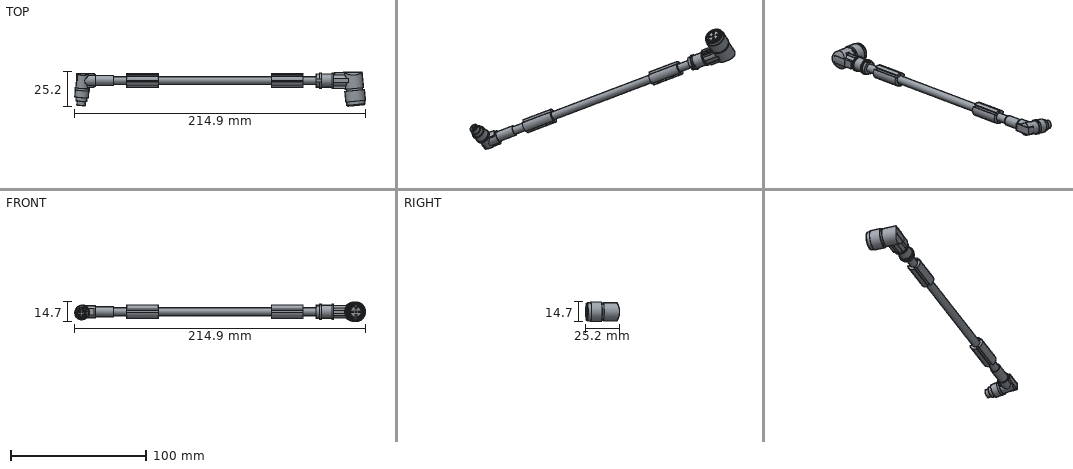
import cadquery as cq
import math


CABLE_RADIUS = 3.0

SLEEVE_RADIUS = 5.15
SLEEVE_LENGTH = 23.5
SLEEVE_STARTS = (38.3, 145.3)
SLEEVE_GROOVES = ((45, 7), (175, 55), (285, 7))
SLEEVE_GROOVE_WALL_FLARE = 7
SLEEVE_GROOVE_FLOOR = 3.5
SLEEVE_GROOVE_FLOOR_WIDTH = 1.5
SLEEVE_NOSE_ANGLE = 149
SLEEVE_NOSE_FILLET = 1.2
SLEEVE_SLOT_WIDTH = 0.9
SLEEVE_SLOT_ANGLE = 95.5

REAR_ALLOWANCE = 1.0

PLUG_AXIS_X = 5.95
PLUG_TILT = -4
PLUG_DIP = 4
PLUG_BACK = 5.1
PLUG_BACK_CURVE = 10.0
PLUG_BODY_RADIUS = 4.7
PLUG_BODY_END = 5.6
PLUG_FLANGE_RADIUS = 5.37
PLUG_FLANGE_END = 7.2
PLUG_NUT_RADIUS = 5.1
PLUG_NUT_END = 12.4
PLUG_THREAD_RADIUS = 4.1
PLUG_THREAD_END = 15.2
PLUG_TIP_RADIUS = 3.2
PLUG_TIP_END = 18.4
PLUG_BORE_RADIUS = 2.7
PLUG_BORE_DEPTH = 4.5
PLUG_PINS = 4
PLUG_FIRST_PIN_ANGLE = 45
PLUG_PIN_RADIUS = 0.5
PLUG_PIN_CIRCLE = 1.5
PLUG_PIN_LENGTH = 4.0
PLUG_NECK_END = 15.3
PLUG_NECK_RADIUS = 4.55
PLUG_GRIP_END = 28.8
PLUG_GRIP_RADIUS = 3.75
PLUG_PLATE_START = 1.5
PLUG_PLATE_END = 14.6
PLUG_PLATE_WIDTH = 5.6
PLUG_PAD_START = 9.0
PLUG_PAD_END = 14.3
PLUG_PAD_WIDTH = 5.0
PLUG_PAD_REACH = 5.0

SOCKET_AXIS_X = 206.07
SOCKET_TILT = 5.5
SOCKET_BACK = 6.17
SOCKET_BACK_CURVE = 12.0
SOCKET_BODY_RADIUS = 6.85
SOCKET_BODY_END = 5.9
SOCKET_GAP_RADIUS = 6.0
SOCKET_GAP_END = 7.4
SOCKET_NUT_RADIUS = 7.37
SOCKET_NUT_END = 15.3
SOCKET_RIM_RADIUS = 6.85
SOCKET_RIM_END = 18.54
SOCKET_RIM_CHAMFER = 0.8
SOCKET_BORE_RADIUS = 5.3
SOCKET_BORE_DEPTH = 5.0
SOCKET_INSERT_RADIUS = 4.2
SOCKET_HOLES = 4
SOCKET_HOLE_RADIUS = 0.7
SOCKET_HOLE_CIRCLE = 2.6
SOCKET_HOLE_DEPTH = 4.0
SOCKET_NOTCHES = 28
SOCKET_NOTCH_WIDTH = 0.5
SOCKET_NOTCH_DEPTH = 0.5
SOCKET_GRIP_START = 178.4
SOCKET_GRIP_RADIUS = 4.95
SOCKET_RING_RADIUS = 5.7
SOCKET_RINGS = ((180.8, 182.2), (190.0, 191.0))
SOCKET_COLLAR_WINDOW_WIDTH = 2.0
SOCKET_COLLAR_WINDOW_DEPTH = 0.8
SOCKET_PAD_START = 191.0
SOCKET_PAD_FRONT_END = 200.0
SOCKET_PAD_FRONT_WIDTH = 5.8
SOCKET_PAD_REACH = 6.0
SOCKET_RECESS_END = 202.2
SOCKET_RECESS_WIDTH = 3.2
SOCKET_RECESS_FLOOR = 4.5
SOCKET_PAD_GROOVE_WIDTH = 2.2
SOCKET_PAD_GROOVE_DEPTH = 0.8
SOCKET_PLATE_START = 192.0
SOCKET_PLATE_END = 210.0
SOCKET_PLATE_WIDTH = 5.8


def rod(start_x, end_x, radius):
    """Cylinder on the cable axis."""
    return cq.Workplane("YZ", origin=(start_x, 0, 0)).circle(radius).extrude(end_x - start_x)


def bar(x_range, y_range, z_range):
    """Box between pairs of coordinates."""
    lows, highs = zip(x_range, y_range, z_range)
    sizes = [high - low for low, high in zip(lows, highs)]
    return cq.Workplane("XY").box(*sizes, centered=False).translate(lows)


def around(shape, count, axis_origin, axis_direction):
    """Yield copies of a shape spaced evenly about an axis."""
    axis_end = tuple(o + d for o, d in zip(axis_origin, axis_direction))
    for index in range(count):
        yield shape.rotate(axis_origin, axis_end, index * 360 / count)


def revolved(profile):
    """Solid of revolution about Z from (radius, z) points that start and end on the axis."""
    return cq.Workplane("XZ").polyline(profile).close().revolve(360, (0, 0, 0), (0, 1, 0))


def trim_rear(head, back, curve_radius):
    """Shape the +Y end of a placed head to a face curved about a line along X."""
    box = head.val().BoundingBox()
    waste = bar((box.xmin, box.xmax), (0, box.ymax), (box.zmin, box.zmax))
    kept = rod(box.xmin, box.xmax, curve_radius).translate((0, back - curve_radius, 0))
    return head.cut(waste.cut(kept))


def place_head(head, axis_x, tilt, dip):
    """Turn a head built along +Z towards -Y, lean it and move it onto the cable axis."""
    turned = head.rotate((0, 0, 0), (1, 0, 0), 90 + dip)
    return turned.rotate((0, 0, 0), (0, 0, 1), tilt).translate((axis_x, 0, 0))


def sleeve_groove(start_x, angle, leading_flare):
    """Cutter for one lengthwise groove with a flat floor and flared walls."""
    half_floor = SLEEVE_GROOVE_FLOOR_WIDTH / 2
    height = SLEEVE_RADIUS - SLEEVE_GROOVE_FLOOR
    leading_spread = height * math.tan(math.radians(leading_flare))
    trailing_spread = height * math.tan(math.radians(SLEEVE_GROOVE_WALL_FLARE))
    return (
        cq.Workplane("YZ", origin=(start_x, 0, 0))
        .polyline([
            (SLEEVE_GROOVE_FLOOR, -half_floor),
            (SLEEVE_RADIUS, -half_floor - leading_spread),
            (SLEEVE_RADIUS, half_floor + trailing_spread),
            (SLEEVE_GROOVE_FLOOR, half_floor),
        ])
        .close()
        .extrude(SLEEVE_LENGTH)
        .rotate((0, 0, 0), (1, 0, 0), angle)
    )


def marker_sleeve(start_x):
    """Sleeve with lengthwise grooves, a rounded nose and a narrow slot."""
    end_x = start_x + SLEEVE_LENGTH
    sleeve = rod(start_x, end_x, SLEEVE_RADIUS)
    for angle, leading_flare in SLEEVE_GROOVES:
        sleeve = sleeve.cut(sleeve_groove(start_x, angle, leading_flare))
    nose = (
        (start_x + end_x) / 2,
        SLEEVE_RADIUS * math.cos(math.radians(SLEEVE_NOSE_ANGLE)),
        SLEEVE_RADIUS * math.sin(math.radians(SLEEVE_NOSE_ANGLE)),
    )
    sleeve = sleeve.edges(cq.selectors.NearestToPointSelector(nose)).fillet(SLEEVE_NOSE_FILLET)
    half_slot = SLEEVE_SLOT_WIDTH / 2
    slot = bar((start_x, end_x), (CABLE_RADIUS, SLEEVE_RADIUS), (-half_slot, half_slot))
    return sleeve.cut(slot.rotate((0, 0, 0), (1, 0, 0), SLEEVE_SLOT_ANGLE))


def plug_head():
    """Stepped plug with a hollow tip and contact pins."""
    head = revolved([
        (0, -PLUG_BACK - REAR_ALLOWANCE),
        (PLUG_BODY_RADIUS, -PLUG_BACK - REAR_ALLOWANCE),
        (PLUG_BODY_RADIUS, PLUG_BODY_END),
        (PLUG_FLANGE_RADIUS, PLUG_BODY_END),
        (PLUG_FLANGE_RADIUS, PLUG_FLANGE_END),
        (PLUG_NUT_RADIUS, PLUG_FLANGE_END),
        (PLUG_NUT_RADIUS, PLUG_NUT_END),
        (PLUG_THREAD_RADIUS, PLUG_NUT_END),
        (PLUG_THREAD_RADIUS, PLUG_THREAD_END),
        (PLUG_TIP_RADIUS, PLUG_THREAD_END),
        (PLUG_TIP_RADIUS, PLUG_TIP_END),
        (0, PLUG_TIP_END),
    ])
    bore_floor = PLUG_TIP_END - PLUG_BORE_DEPTH
    bore = cq.Workplane("XY", origin=(0, 0, bore_floor)).circle(PLUG_BORE_RADIUS).extrude(PLUG_BORE_DEPTH)
    pins = (
        cq.Workplane("XY", origin=(0, 0, bore_floor))
        .polarArray(PLUG_PIN_CIRCLE, PLUG_FIRST_PIN_ANGLE, 360, PLUG_PINS)
        .circle(PLUG_PIN_RADIUS)
        .extrude(PLUG_PIN_LENGTH)
    )
    head = place_head(head.cut(bore).union(pins), PLUG_AXIS_X, PLUG_TILT, PLUG_DIP)
    return trim_rear(head, PLUG_BACK, PLUG_BACK_CURVE)


def plug_end():
    """Plug head with its neck, rear plate, front pad and cable grip."""
    half_plate = PLUG_PLATE_WIDTH / 2
    half_pad = PLUG_PAD_WIDTH / 2
    plate = bar((PLUG_PLATE_START, PLUG_PLATE_END), (0, PLUG_BACK), (-half_plate, half_plate))
    pad = bar((PLUG_PAD_START, PLUG_PAD_END), (-PLUG_PAD_REACH, 0), (-half_pad, half_pad))
    return (
        plug_head()
        .union(rod(PLUG_AXIS_X, PLUG_NECK_END, PLUG_NECK_RADIUS))
        .union(rod(PLUG_AXIS_X, PLUG_GRIP_END, PLUG_GRIP_RADIUS))
        .union(plate)
        .union(pad)
    )


def socket_head():
    """Socket body, union nut and the contact insert inside the nut."""
    head = revolved([
        (0, -SOCKET_BACK - REAR_ALLOWANCE),
        (SOCKET_BODY_RADIUS, -SOCKET_BACK - REAR_ALLOWANCE),
        (SOCKET_BODY_RADIUS, SOCKET_BODY_END),
        (SOCKET_GAP_RADIUS, SOCKET_BODY_END),
        (SOCKET_GAP_RADIUS, SOCKET_GAP_END),
        (SOCKET_NUT_RADIUS, SOCKET_GAP_END),
        (SOCKET_NUT_RADIUS, SOCKET_NUT_END),
        (SOCKET_RIM_RADIUS, SOCKET_NUT_END),
        (SOCKET_RIM_RADIUS, SOCKET_RIM_END - SOCKET_RIM_CHAMFER),
        (SOCKET_RIM_RADIUS - SOCKET_RIM_CHAMFER, SOCKET_RIM_END),
        (0, SOCKET_RIM_END),
    ])
    annulus = (
        cq.Workplane("XY", origin=(0, 0, SOCKET_RIM_END))
        .circle(SOCKET_BORE_RADIUS)
        .circle(SOCKET_INSERT_RADIUS)
        .extrude(-SOCKET_BORE_DEPTH)
    )
    holes = (
        cq.Workplane("XY", origin=(0, 0, SOCKET_RIM_END))
        .polarArray(SOCKET_HOLE_CIRCLE, 0, 360, SOCKET_HOLES)
        .circle(SOCKET_HOLE_RADIUS)
        .extrude(-SOCKET_HOLE_DEPTH)
    )
    centre_hole = (
        cq.Workplane("XY", origin=(0, 0, SOCKET_RIM_END))
        .circle(SOCKET_HOLE_RADIUS)
        .extrude(-SOCKET_HOLE_DEPTH)
    )
    notch_length = SOCKET_NUT_RADIUS - SOCKET_BORE_RADIUS
    notches = (
        cq.Workplane("XY", origin=(0, 0, SOCKET_RIM_END))
        .polarArray(SOCKET_BORE_RADIUS + notch_length / 2, 0, 360, SOCKET_NOTCHES)
        .rect(notch_length, SOCKET_NOTCH_WIDTH)
        .extrude(-SOCKET_NOTCH_DEPTH)
    )
    head = head.cut(annulus).cut(holes).cut(centre_hole).cut(notches)
    head = place_head(head, SOCKET_AXIS_X, SOCKET_TILT, 0)
    return trim_rear(head, SOCKET_BACK, SOCKET_BACK_CURVE)


def socket_grip():
    """Round grip behind the socket with two rings and a window above and below in its collar."""
    grip = rod(SOCKET_GRIP_START, SOCKET_AXIS_X, SOCKET_GRIP_RADIUS)
    for ring_start, ring_end in SOCKET_RINGS:
        grip = grip.union(rod(ring_start, ring_end, SOCKET_RING_RADIUS))
    half_window = SOCKET_COLLAR_WINDOW_WIDTH / 2
    window = bar(
        (SOCKET_GRIP_START, SOCKET_RINGS[0][1]),
        (-half_window, half_window),
        (SOCKET_GRIP_RADIUS - SOCKET_COLLAR_WINDOW_DEPTH, SOCKET_RING_RADIUS),
    )
    for cutter in around(window, 2, (0, 0, 0), (1, 0, 0)):
        grip = grip.cut(cutter)
    return grip


def socket_pads():
    """Grooved pad in front of the neck and the plate across its rear."""
    half_front = SOCKET_PAD_FRONT_WIDTH / 2
    half_groove = SOCKET_PAD_GROOVE_WIDTH / 2
    half_plate = SOCKET_PLATE_WIDTH / 2
    front_span = (SOCKET_PAD_START, SOCKET_PAD_FRONT_END)
    groove_floor = SOCKET_PAD_GROOVE_DEPTH - SOCKET_PAD_REACH
    front_pad = bar(front_span, (-SOCKET_PAD_REACH, 0), (-half_front, half_front))
    groove = bar(front_span, (-SOCKET_PAD_REACH, groove_floor), (-half_groove, half_groove))
    plate = bar((SOCKET_PLATE_START, SOCKET_PLATE_END), (0, SOCKET_PAD_REACH), (-half_plate, half_plate))
    return front_pad.cut(groove).union(plate)


def socket_end():
    """Socket head with its grip, pads and the recesses above and below the neck."""
    half_recess = SOCKET_RECESS_WIDTH / 2
    recess = bar(
        (SOCKET_PAD_START, SOCKET_RECESS_END),
        (-half_recess, half_recess),
        (SOCKET_RECESS_FLOOR, SOCKET_BODY_RADIUS),
    )
    end = socket_grip().union(socket_pads()).union(socket_head())
    for cutter in around(recess, 2, (0, 0, 0), (1, 0, 0)):
        end = end.cut(cutter)
    return end


result = rod(PLUG_AXIS_X, SOCKET_AXIS_X, CABLE_RADIUS)
for sleeve_start in SLEEVE_STARTS:
    result = result.union(marker_sleeve(sleeve_start))
result = result.union(plug_end()).union(socket_end())